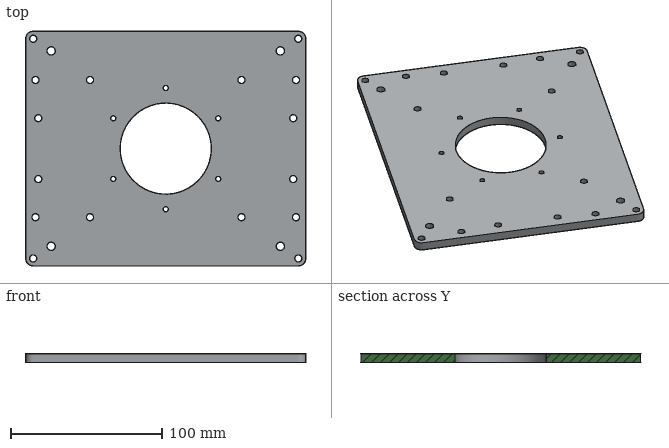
import cadquery as cq

LENGTH = 185.0
WIDTH = 155.0
THICKNESS = 6.0
CORNER_RADIUS = 5.0

OPENING_DIAMETER = 60.0
RING_HOLE_DIAMETER = 3.2
RING_RADIUS = 40.0
RING_HOLE_COUNT = 6
RING_START_ANGLE = 90.0

FIXING_HOLE_DIAMETER = 4.5
CORNER_HOLE_X = LENGTH / 2 - CORNER_RADIUS
CORNER_HOLE_Y = WIDTH / 2 - CORNER_RADIUS
OUTER_ROW_Y = 45.3
OUTER_ROW_EDGE_X = 86.0
OUTER_ROW_INNER_X = 50.0
INNER_ROW_X = 84.15
INNER_ROW_Y = 20.1

MOUNTING_HOLE_DIAMETER = 5.31
MOUNTING_HOLE_X = 75.65
MOUNTING_HOLE_Y = 64.5


def make_plate():
    """Flat plate with rounded vertical corners."""
    plate = cq.Workplane("XY").box(LENGTH, WIDTH, THICKNESS, centered=(True, True, False))
    return plate.edges("|Z").fillet(CORNER_RADIUS)


def cut_four_holes(body, x, y, diameter):
    """Through holes at (x, y) and its mirror images in both axes."""
    spots = [(side_x * x, side_y * y) for side_x in (-1, 1) for side_y in (-1, 1)]
    return body.faces(">Z").workplane(origin=(0, 0, THICKNESS)).pushPoints(spots).hole(diameter)


def cut_opening_and_ring(body):
    """Central through opening and its ring of evenly spaced holes."""
    body = body.faces(">Z").workplane(origin=(0, 0, THICKNESS)).hole(OPENING_DIAMETER)
    ring = body.faces(">Z").workplane(origin=(0, 0, THICKNESS))
    ring = ring.polarArray(RING_RADIUS, RING_START_ANGLE, 360, RING_HOLE_COUNT)
    return ring.hole(RING_HOLE_DIAMETER)


FIXING_HOLE_POSITIONS = [
    (CORNER_HOLE_X, CORNER_HOLE_Y),
    (OUTER_ROW_EDGE_X, OUTER_ROW_Y),
    (OUTER_ROW_INNER_X, OUTER_ROW_Y),
    (INNER_ROW_X, INNER_ROW_Y),
]

result = cut_opening_and_ring(make_plate())
for hole_x, hole_y in FIXING_HOLE_POSITIONS:
    result = cut_four_holes(result, hole_x, hole_y, FIXING_HOLE_DIAMETER)
result = cut_four_holes(result, MOUNTING_HOLE_X, MOUNTING_HOLE_Y, MOUNTING_HOLE_DIAMETER)